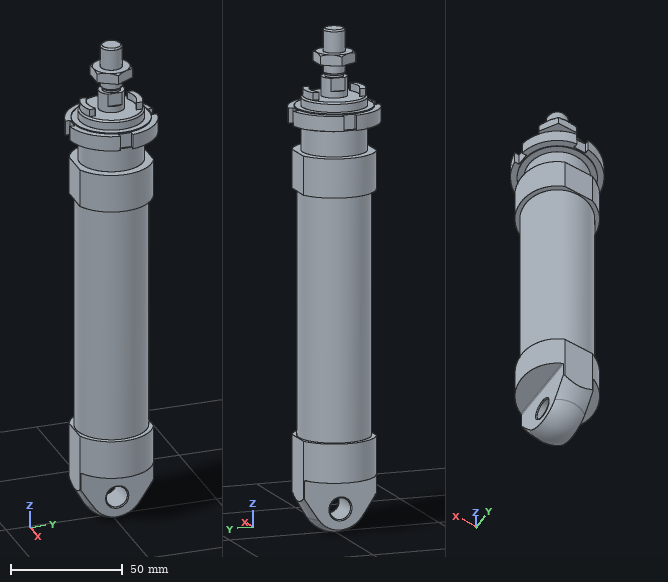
import cadquery as cq
import math


clevis_end_z = -12.0
rear_cap_bottom_z = 14.4
cap_length = 18.0
barrel_length = 113.1
collar_length = 25.0
rear_cap_top_z = rear_cap_bottom_z + cap_length
front_cap_bottom_z = rear_cap_top_z + barrel_length
front_cap_top_z = front_cap_bottom_z + cap_length
collar_end_z = front_cap_top_z + collar_length
rod_end_z = 219.5

barrel_diameter = 33.6
cap_diameter = 38.0
cap_across_flats = 35.0

collar_diameter = 30.0
collar_tip_diameter = 28.38
collar_chamfer = (collar_diameter - collar_tip_diameter) / 2
lug_height = 3.5
lug_inner_diameter = 22.8
lug_inner_flat_offset = 9.8
lug_width = 13.0

clevis_thickness = 16.0
dome_radius = 15.0
cone_half_angle = 30.0
eye_diameter = 10.0
eye_chamfer = 0.5
clevis_root_fillet = 0.4

rod_diameter = 12.0
rod_thread_diameter = 10.0
rod_thread_tip_diameter = 8.65
rod_thread_length = 22.0
undercut_diameter = 8.4
thread_root_diameter = 8.57
undercut_length = 1.0
thread_root_taper_length = 0.9
rod_tip_taper_length = 0.8
rod_across_flats = 10.0
rod_flat_length = 6.0
rod_shoulder_z = rod_end_z - rod_thread_length
rod_tip_inset = (rod_thread_diameter - rod_thread_tip_diameter) / 2
thread_root_inset = (rod_thread_diameter - thread_root_diameter) / 2

hexagon_sides = 6
rod_nut_across_flats = 17.0
rod_nut_thickness = 5.0
rod_nut_bottom_z = 203.9
rod_nut_chamfer_angle = 30.0

ring_nut_diameter = 42.0
ring_nut_thickness = 7.0
ring_nut_bottom_z = 176.5
ring_lip_diameter = 36.0
ring_lip_height = 0.5
ring_slot_width = 6.0
ring_slot_floor_radius = 18.5
ring_slot_count = 4


def cylinder(diameter, bottom_z, top_z):
    return cq.Workplane("XY", origin=(0, 0, bottom_z)).circle(diameter / 2).extrude(top_z - bottom_z)


def block(width_x, width_y, bottom_z, top_z):
    return cq.Workplane("XY", origin=(0, 0, bottom_z)).rect(width_x, width_y).extrude(top_z - bottom_z)


def flatted_cap(bottom_z, top_z):
    cap = cylinder(cap_diameter, bottom_z, top_z)
    return cap.intersect(block(cap_diameter, cap_across_flats, bottom_z, top_z))


def make_clevis():
    cap_radius = cap_diameter / 2
    angle = math.radians(cone_half_angle)
    dome_center_z = clevis_end_z + dome_radius
    tangent_radius = dome_radius * math.cos(angle)
    tangent_z = dome_center_z - dome_radius * math.sin(angle)
    middle_angle = (math.pi / 2 + angle) / 2
    dome_middle = (dome_radius * math.cos(middle_angle), dome_center_z - dome_radius * math.sin(middle_angle))
    cone_top_z = tangent_z + (cap_radius - tangent_radius) / math.tan(angle)

    round_end = (
        cq.Workplane("XZ")
        .moveTo(0, rear_cap_bottom_z)
        .lineTo(cap_radius, rear_cap_bottom_z)
        .lineTo(cap_radius, cone_top_z)
        .lineTo(tangent_radius, tangent_z)
        .threePointArc(dome_middle, (0, clevis_end_z))
        .close()
        .revolve(360, (0, 0), (0, 1))
    )
    tongue = round_end.intersect(block(clevis_thickness, cap_across_flats, clevis_end_z, rear_cap_bottom_z))
    eye = cq.Workplane("YZ").circle(eye_diameter / 2).extrude(clevis_thickness / 2, both=True)
    eye_rims = cq.selectors.RadiusNthSelector(0)
    return tongue.cut(eye).edges(eye_rims).chamfer(eye_chamfer)


def make_lugs():
    lug_top_z = collar_end_z + lug_height
    lug_root_z = collar_end_z - collar_chamfer
    lug_ring = cylinder(collar_tip_diameter, lug_root_z, lug_top_z).cut(
        cylinder(lug_inner_diameter, lug_root_z, lug_top_z)
    )
    space_between_lugs = block(lug_width, 2 * lug_inner_flat_offset, lug_root_z, lug_top_z)
    across_collar = block(lug_width, collar_diameter, lug_root_z, lug_top_z)
    return lug_ring.intersect(across_collar).cut(space_between_lugs)


def make_rear_end():
    cap = flatted_cap(rear_cap_bottom_z, rear_cap_top_z)
    joined = cap.union(make_clevis())
    for side in (-1, 1):
        root_corner = cq.selectors.NearestToPointSelector((side * clevis_thickness / 2, 0, rear_cap_bottom_z))
        joined = joined.edges("|Y").edges(root_corner).fillet(clevis_root_fillet)
    return joined


def make_housing():
    collar = cylinder(collar_diameter, front_cap_top_z, collar_end_z).faces(">Z").chamfer(collar_chamfer)
    rod_hole = cylinder(rod_diameter, front_cap_bottom_z, collar_end_z)
    return (
        cylinder(barrel_diameter, rear_cap_top_z, front_cap_bottom_z)
        .union(make_rear_end())
        .union(flatted_cap(front_cap_bottom_z, front_cap_top_z))
        .union(collar)
        .union(make_lugs())
        .cut(rod_hole)
    )


def make_rod():
    undercut_top_z = rod_shoulder_z + undercut_length
    flats_bottom_z = rod_shoulder_z - rod_flat_length
    shank = cylinder(rod_diameter, front_cap_bottom_z, flats_bottom_z)
    flatted_neck = cylinder(rod_diameter, flats_bottom_z, rod_shoulder_z).intersect(
        block(rod_across_flats, rod_diameter, flats_bottom_z, rod_shoulder_z)
    )
    undercut = cylinder(undercut_diameter, rod_shoulder_z, undercut_top_z)
    thread = (
        cylinder(rod_thread_diameter, undercut_top_z, rod_end_z)
        .faces(">Z")
        .chamfer(rod_tip_taper_length, rod_tip_inset)
        .faces("<Z")
        .chamfer(thread_root_taper_length, thread_root_inset)
    )
    return shank.union(flatted_neck).union(undercut).union(thread)


def make_rod_nut():
    across_corners = rod_nut_across_flats / math.cos(math.pi / hexagon_sides)
    corner_radius = across_corners / 2
    top_radius = rod_nut_across_flats / 2
    chamfer_height = (corner_radius - top_radius) * math.tan(math.radians(rod_nut_chamfer_angle))
    top_z = rod_nut_bottom_z + rod_nut_thickness
    hexagon = (
        cq.Workplane("XY", origin=(0, 0, rod_nut_bottom_z))
        .polygon(hexagon_sides, across_corners)
        .extrude(rod_nut_thickness)
    )
    chamfered_disc = (
        cylinder(across_corners, rod_nut_bottom_z, top_z)
        .faces(">Z")
        .chamfer(chamfer_height, corner_radius - top_radius)
    )
    return hexagon.intersect(chamfered_disc).cut(cylinder(rod_thread_diameter, rod_nut_bottom_z, top_z))


def make_ring_nut():
    top_z = ring_nut_bottom_z + ring_nut_thickness
    lip_bottom_z = ring_nut_bottom_z - ring_lip_height
    lip_top_z = top_z + ring_lip_height
    ring = (
        cylinder(ring_nut_diameter, ring_nut_bottom_z, top_z)
        .union(cylinder(ring_lip_diameter, lip_bottom_z, lip_top_z))
        .cut(cylinder(collar_diameter, lip_bottom_z, lip_top_z))
    )
    slot_depth = ring_nut_diameter / 2 - ring_slot_floor_radius
    slot = block(slot_depth, ring_slot_width, ring_nut_bottom_z, top_z).translate(
        (ring_slot_floor_radius + slot_depth / 2, 0, 0)
    )
    for index in range(ring_slot_count):
        ring = ring.cut(slot.rotate((0, 0, 0), (0, 0, 1), index * 360 / ring_slot_count))
    return ring


housing = make_housing()
rod = make_rod()
rod_nut = make_rod_nut()
ring_nut = make_ring_nut()

result = cq.Compound.makeCompound([housing.val(), rod.val(), rod_nut.val(), ring_nut.val()])